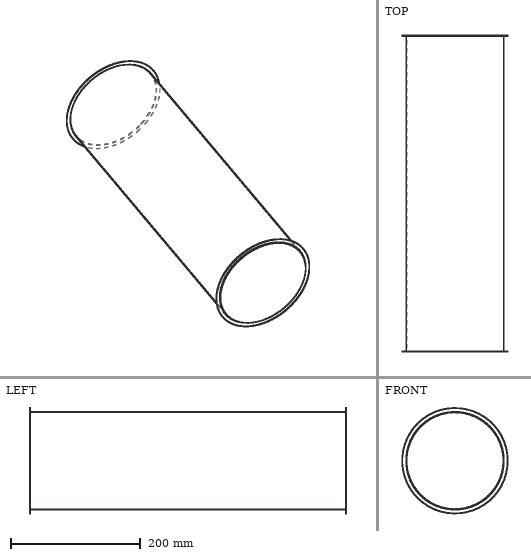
import cadquery as cq

length = 488.0
bore_diameter = 149.0
wall = 1.0
flange_diameter = 163.0
flange_thickness = 1.0

tube_diameter = bore_diameter + 2 * wall


def ring(outer_diameter, y_start, thickness):
    """Ring around the Y axis with the duct bore, running towards +Y from y_start."""
    return (
        cq.Workplane("XZ", origin=(0, y_start, 0))
        .circle(outer_diameter / 2)
        .circle(bore_diameter / 2)
        .extrude(-thickness)
    )


result = ring(tube_diameter, -length / 2, length)
for flange_start in (-length / 2, length / 2 - flange_thickness):
    result = result.union(ring(flange_diameter, flange_start, flange_thickness))